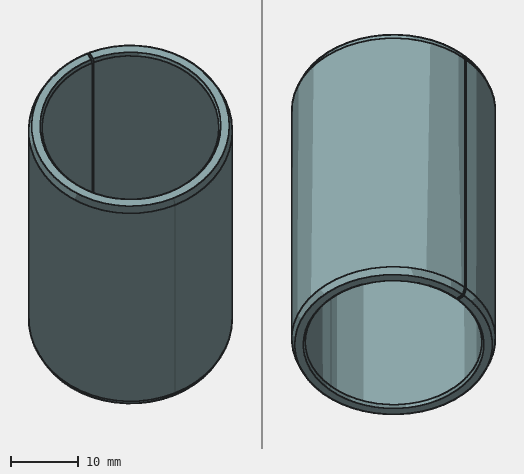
import cadquery as cq

outer_diameter = 30.0
wall = 2.0
length = 50.0
outer_chamfer_height = 1.2
outer_chamfer_depth = 0.45
inner_chamfer_height = 0.5
inner_chamfer_depth = 0.3
seam_width = 0.3

outer_radius = outer_diameter / 2
inner_radius = outer_radius - wall
half_length = length / 2

wall_section = [
    (inner_radius, -half_length + inner_chamfer_height),
    (inner_radius + inner_chamfer_depth, -half_length),
    (outer_radius - outer_chamfer_depth, -half_length),
    (outer_radius, -half_length + outer_chamfer_height),
    (outer_radius, half_length - outer_chamfer_height),
    (outer_radius - outer_chamfer_depth, half_length),
    (inner_radius + inner_chamfer_depth, half_length),
    (inner_radius, half_length - inner_chamfer_height),
]
sleeve = cq.Workplane("XZ").polyline(wall_section).close().revolve(360, (0, 0), (0, 1))

slit = cq.Workplane("XY").box(outer_radius, seam_width, length)
slit = slit.translate((-outer_radius, seam_width / 2, 0))

result = sleeve.cut(slit)